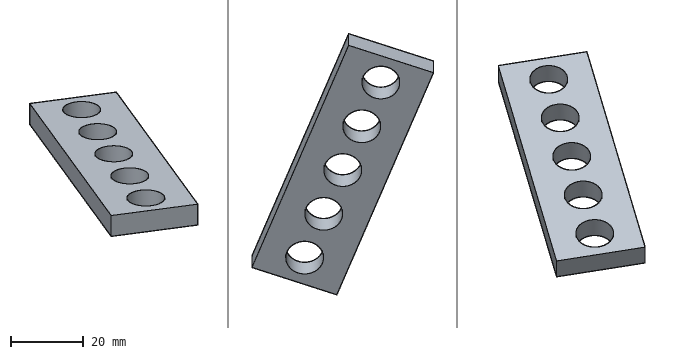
import cadquery as cq

length = 76.0
width = 25.0
thickness = 6.4

hole_count = 5
hole_diameter = 10.4
hole_pitch = 15.0

plate = cq.Workplane("XY").box(length, width, thickness)

result = (
    plate.faces(">Z")
    .workplane()
    .rarray(hole_pitch, 0.75, hole_count, 1)
    .hole(hole_diameter)
)